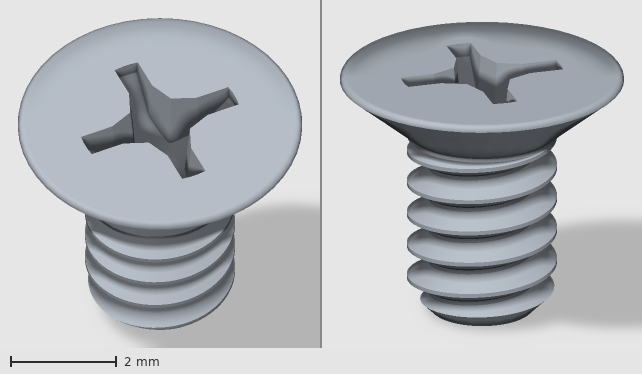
import cadquery as cq
import math

total_height = 4.76
head_radius = 2.69
rim_radius = 0.12
neck_top = 3.595
neck_bottom = 3.52

major_radius = 1.42
pitch = 0.6375
crest_width = pitch / 8
root_width = pitch / 8
flank_angle = 30.0
flank_height = (pitch - crest_width - root_width) / 2
minor_radius = major_radius - flank_height / math.tan(math.radians(flank_angle))
root_level = 0.2
tip_radius = 0.97
tip_chamfer = major_radius - tip_radius

recess_radius = 1.55
arm_overrun = 0.055
arm_half_width = 0.24
arm_inner_end = 0.875
centre_corner = 0.425
wall_draft = 5.0
recess_depth = 1.56
recess_edge_depth = 0.27


def make_head():
    """Countersunk head with a rounded rim and a short plain neck."""
    rim_bottom = total_height - rim_radius
    flat_radius = head_radius - rim_radius
    rim_mid = rim_radius * math.sqrt(0.5)
    return (
        cq.Workplane("XZ")
        .moveTo(0, neck_bottom)
        .lineTo(major_radius, neck_bottom)
        .lineTo(major_radius, neck_top)
        .lineTo(head_radius, rim_bottom)
        .threePointArc((flat_radius + rim_mid, rim_bottom + rim_mid), (flat_radius, total_height))
        .lineTo(0, total_height)
        .close()
        .revolve(360, (0, 0, 0), (0, 1, 0))
    )


def make_shank():
    """Plain shank with a 45 degree tip, before the thread is cut."""
    return (
        cq.Workplane("XZ")
        .lineTo(tip_radius, 0)
        .lineTo(major_radius, tip_chamfer)
        .lineTo(major_radius, neck_bottom)
        .lineTo(0, neck_bottom)
        .close()
        .revolve(360, (0, 0, 0), (0, 1, 0))
    )


def make_thread_groove():
    """Right-handed trapezoidal groove that runs past both ends of the shank."""
    overcut = 0.015
    start = root_level - pitch
    length = neck_bottom - start + pitch
    slope = math.tan(math.radians(flank_angle))
    root_half = root_width / 2
    outer_radius = major_radius + overcut
    outer_half = root_half + (outer_radius - minor_radius) * slope
    helix = cq.Wire.makeHelix(pitch, length, minor_radius)
    profile = (
        cq.Workplane("XZ")
        .moveTo(minor_radius, -root_half)
        .lineTo(outer_radius, -outer_half)
        .lineTo(outer_radius, outer_half)
        .lineTo(minor_radius, root_half)
        .close()
    )
    return profile.sweep(cq.Workplane(obj=helix), isFrenet=True).translate((0, 0, start))


def make_recess():
    """Cross recess with drafted walls, round arm ends and a conical floor."""
    arm_reach = recess_radius + recess_depth * math.tan(math.radians(wall_draft)) + arm_overrun
    arm = [
        (arm_reach, -arm_half_width),
        (arm_reach, arm_half_width),
        (arm_inner_end, arm_half_width),
        (centre_corner, centre_corner),
        (arm_half_width, arm_inner_end),
    ]
    outline = []
    for _ in range(4):
        outline += arm
        arm = [(-y, x) for x, y in arm]
    cross = (
        cq.Workplane("XY", origin=(0, 0, total_height))
        .polyline(outline)
        .close()
        .extrude(-recess_depth, taper=wall_draft)
    )
    envelope = (
        cq.Workplane("XZ")
        .moveTo(0, total_height)
        .lineTo(recess_radius, total_height)
        .lineTo(recess_radius, total_height - recess_edge_depth)
        .lineTo(0, total_height - recess_depth)
        .close()
        .revolve(360, (0, 0, 0), (0, 1, 0))
    )
    return cross.intersect(envelope)


threaded_shank = make_shank().cut(make_thread_groove())
result = threaded_shank.union(make_head()).cut(make_recess())